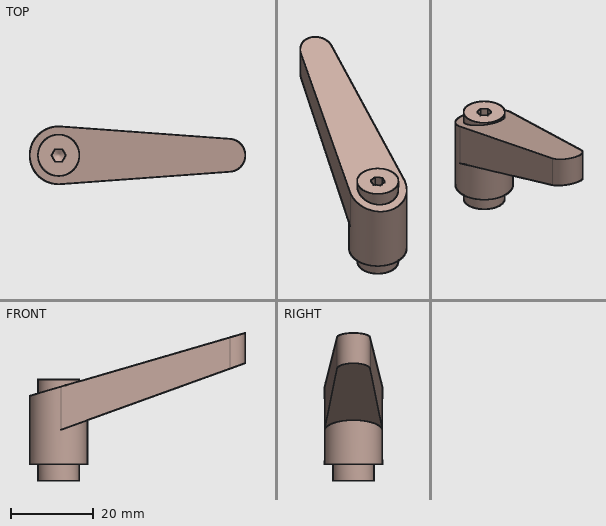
import cadquery as cq
import math

total_length = 52.0
total_height = 35.65
hub_diameter = 14.0
hub_bottom = 3.95
screw_diameter = 10.0
screw_top = 24.45
tip_radius = 4.0
arm_top_at_hub = 20.5
arm_bottom_at_hub = 12.25
arm_bottom_at_tip = 28.35
socket_flats = 3.0
socket_depth = 3.1
drill_point_angle = 120.0

hub_radius = hub_diameter / 2
tip_end = total_length - hub_radius
tip_center = tip_end - tip_radius

tangent_sin = (hub_radius - tip_radius) / tip_center
tangent_cos = math.sqrt(1 - tangent_sin**2)
arm_start = hub_radius * tangent_sin


def make_tapered_arm():
    """Teardrop plan outline, trimmed between the two sloping faces."""
    hub_tangent = (arm_start, hub_radius * tangent_cos)
    tip_tangent = (tip_center + tip_radius * tangent_sin, tip_radius * tangent_cos)
    outline = (
        cq.Workplane("XY")
        .moveTo(hub_tangent[0], -hub_tangent[1])
        .lineTo(tip_tangent[0], -tip_tangent[1])
        .threePointArc((tip_end, 0), tip_tangent)
        .lineTo(*hub_tangent)
        .threePointArc((-hub_radius, 0), (hub_tangent[0], -hub_tangent[1]))
        .close()
        .extrude(total_height)
    )
    side_profile = (
        cq.Workplane("XZ")
        .moveTo(-hub_radius, hub_bottom)
        .lineTo(arm_start, hub_bottom)
        .lineTo(arm_start, arm_bottom_at_hub)
        .lineTo(tip_end, arm_bottom_at_tip)
        .lineTo(tip_end, total_height)
        .lineTo(-hub_radius, arm_top_at_hub)
        .close()
        .extrude(hub_radius, both=True)
    )
    return outline.intersect(side_profile)


def make_hub():
    """Round hub, stopping inside the arm."""
    hub_height = arm_top_at_hub - hub_bottom
    return cq.Workplane("XY").workplane(offset=hub_bottom).circle(hub_radius).extrude(hub_height)


def make_screw():
    return cq.Workplane("XY").circle(screw_diameter / 2).extrude(screw_top)


def make_socket():
    """Hexagon socket with corners along X, its bottom a cone that reaches the corners."""
    corner_radius = socket_flats / 2 / math.cos(math.pi / 6)
    cone_depth = corner_radius / math.tan(math.radians(drill_point_angle / 2))
    hexagon = (
        cq.Workplane("XY")
        .workplane(offset=screw_top)
        .polygon(6, 2 * corner_radius)
        .extrude(-(socket_depth + cone_depth))
    )
    drilled_hole = (
        cq.Workplane("XZ")
        .moveTo(0, screw_top)
        .lineTo(corner_radius, screw_top)
        .lineTo(corner_radius, screw_top - socket_depth)
        .lineTo(0, screw_top - socket_depth - cone_depth)
        .close()
        .revolve(360, (0, 0, 0), (0, 1, 0))
    )
    return hexagon.intersect(drilled_hole)


result = make_tapered_arm().union(make_hub()).union(make_screw()).cut(make_socket())